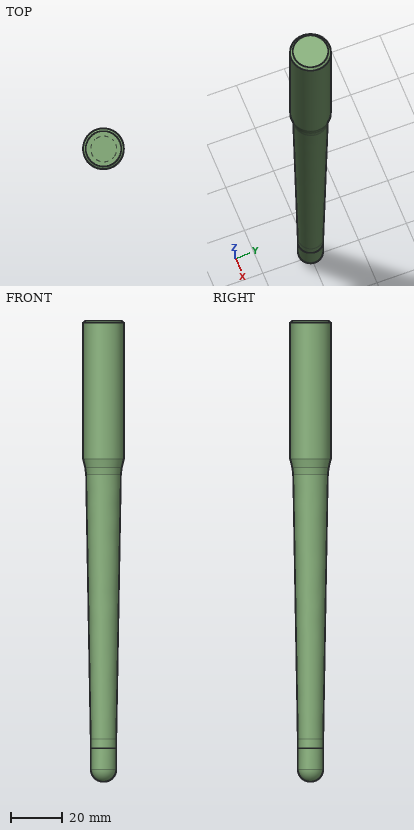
import cadquery as cq
import math

total_length = 180.0

tip_radius = 5.0
tip_length = 13.1

collar_top = 17.0
neck_top = 120.0
neck_top_radius = 6.8
shoulder_base = 122.8
shoulder_base_radius = 7.2
shank_base = 126.2
shank_radius = 8.01
top_chamfer_height = 0.9
top_chamfer_width = 1.0


def make_tip():
    """Cylinder with a hemispherical lower end."""
    arc_reach = tip_radius * math.sin(math.radians(45))
    profile = (
        cq.Workplane("XZ")
        .moveTo(0, 0)
        .threePointArc((arc_reach, tip_radius - arc_reach), (tip_radius, tip_radius))
        .lineTo(tip_radius, tip_length)
        .lineTo(0, tip_length)
        .close()
    )
    return profile.revolve(360, (0, 0, 0), (0, 1, 0))


def make_holder():
    """Turned shank and tapered neck that carry the tip on a flat lower face."""
    profile = (
        cq.Workplane("XZ")
        .moveTo(0, tip_length)
        .lineTo(tip_radius, tip_length)
        .lineTo(tip_radius, collar_top)
        .lineTo(neck_top_radius, neck_top)
        .lineTo(shoulder_base_radius, shoulder_base)
        .lineTo(shank_radius, shank_base)
        .lineTo(shank_radius, total_length - top_chamfer_height)
        .lineTo(shank_radius - top_chamfer_width, total_length)
        .lineTo(0, total_length)
        .close()
    )
    return profile.revolve(360, (0, 0, 0), (0, 1, 0))


tip = make_tip()
holder = make_holder()

result = cq.Compound.makeCompound([tip.val(), holder.val()])